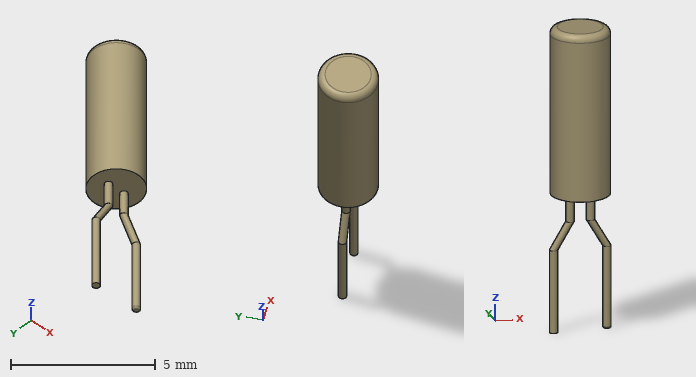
import cadquery as cq

total_height = 11.05
body_bottom = 5.01
upper_bend = 4.0
lower_bend = 3.01

body_diameter = 2.1
top_fillet = 0.25

lead_diameter = 0.3
inner_offset = 0.36
outer_offset = 0.95
tip_fillet = 0.08


def make_body():
    """Can with a rounded top edge."""
    return (
        cq.Workplane("XY", origin=(0, 0, body_bottom))
        .circle(body_diameter / 2)
        .extrude(total_height - body_bottom)
        .faces(">Z")
        .edges()
        .fillet(top_fillet)
    )


def make_lead(side, rounded_tip):
    """Lead that bends outward; side is -1 for the -X lead and 1 for the +X lead."""
    inner_x = side * inner_offset
    outer_x = side * outer_offset
    radius = lead_diameter / 2

    root = (
        cq.Workplane("XY", origin=(inner_x, 0, upper_bend))
        .circle(radius)
        .extrude(body_bottom - upper_bend)
    )
    slant = (
        cq.Workplane("XY", origin=(outer_x, 0, lower_bend))
        .circle(radius)
        .workplane(offset=upper_bend - lower_bend)
        .center(inner_x - outer_x, 0)
        .circle(radius)
        .loft(ruled=True)
    )
    tail = cq.Workplane("XY", origin=(outer_x, 0, 0)).circle(radius).extrude(lower_bend)
    if rounded_tip:
        tail = tail.faces("<Z").edges().fillet(tip_fillet)
    return root.union(slant).union(tail)


left_lead = make_lead(-1, rounded_tip=False)
right_lead = make_lead(1, rounded_tip=True)
result = make_body().union(left_lead).union(right_lead)